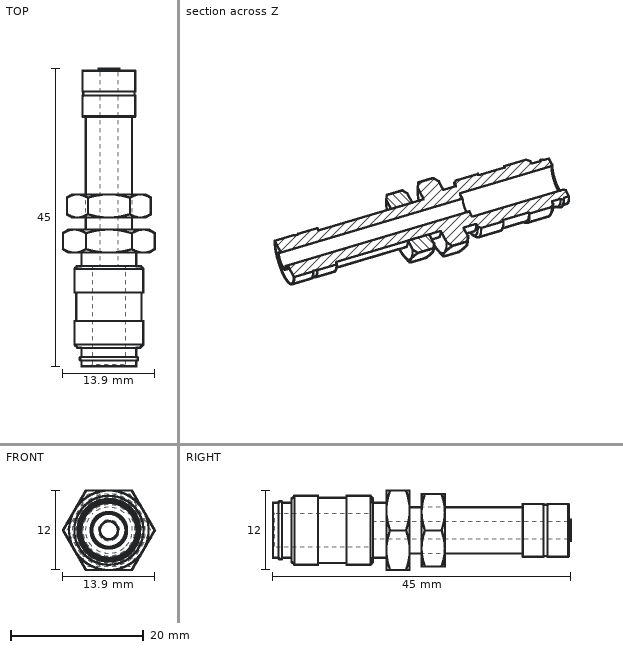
import cadquery as cq
import math

LENGTH = 45.0

NECK_DIAMETER = 8.32
BEAD_CENTER = 1.12
BEAD_RADIUS = 0.25

SLEEVE_DIAMETER = 10.45
SLEEVE_FRONT = 2.8
SLEEVE_LENGTH = 12.35
SLEEVE_REAR = SLEEVE_FRONT + SLEEVE_LENGTH
FRONT_CHAMFER = 0.5
REAR_CHAMFER = 0.4
WAIST_DIAMETER = 9.9
WAIST_START = 6.85
WAIST_LENGTH = 4.28

HEX_THICKNESS = 3.5
HEX_CHAMFER_ANGLE = 30.0
FIXED_HEX_FLATS = 12.0
FIXED_HEX_FRONT = 17.15
NUT_FLATS = 11.0
NUT_GAP = 1.8
NUT_FRONT = FIXED_HEX_FRONT + HEX_THICKNESS + NUT_GAP

STEM_DIAMETER = 7.0
COLLAR_DIAMETER = 8.0
COLLAR_FRONT = 37.65
COLLAR_EDGE_CHAMFER = 0.1
BOSS_DIAMETER = 3.2
BOSS_LENGTH = 0.3
COLLAR_REAR = LENGTH - BOSS_LENGTH
COLLAR_GROOVE_DIAMETER = 7.8
COLLAR_GROOVE_WIDTH = 0.65
COLLAR_GROOVE_START = (COLLAR_FRONT + COLLAR_REAR - COLLAR_GROOVE_WIDTH) / 2

BORE_DIAMETER = 5.0
BORE_DEPTH = SLEEVE_REAR
BORE_CHAMFER = 0.25
THROUGH_HOLE_DIAMETER = 2.7


def cylinder(diameter, start, end):
    """Solid cylinder on the Y axis from y = start to y = end."""
    base = cq.Workplane("XZ", origin=(0, start, 0))
    return base.circle(diameter / 2).extrude(start - end)


def ring_groove(outer_diameter, floor_diameter, start, width):
    """Ring of material to remove so that a groove is left in a cylinder."""
    outer = cylinder(outer_diameter, start, start + width)
    return outer.cut(cylinder(floor_diameter, start, start + width))


def chamfered_hexagon(flats, front):
    """Hexagonal block with flats facing +Z and -Z and its corners turned to a cone at both ends."""
    corner_radius = flats / math.sqrt(3)
    face_radius = flats / 2
    rear = front + HEX_THICKNESS
    drop = (corner_radius - face_radius) * math.tan(math.radians(HEX_CHAMFER_ANGLE))
    block = cq.Workplane("XZ", origin=(0, front, 0)).polygon(6, 2 * corner_radius).extrude(-HEX_THICKNESS)
    turned_envelope = (
        cq.Workplane("XY")
        .moveTo(0, front)
        .lineTo(face_radius, front)
        .lineTo(corner_radius, front + drop)
        .lineTo(corner_radius, rear - drop)
        .lineTo(face_radius, rear)
        .lineTo(0, rear)
        .close()
        .revolve(360, (0, 0, 0), (0, 1, 0))
    )
    return block.intersect(turned_envelope)


def make_neck():
    neck = cylinder(NECK_DIAMETER, 0, FIXED_HEX_FRONT)
    bead = (
        cq.Workplane("XY")
        .center(NECK_DIAMETER / 2, BEAD_CENTER)
        .circle(BEAD_RADIUS)
        .revolve(360, (-NECK_DIAMETER / 2, 0, 0), (-NECK_DIAMETER / 2, 1, 0))
    )
    return neck.union(bead)


def make_sleeve():
    sleeve = cylinder(SLEEVE_DIAMETER, SLEEVE_FRONT, SLEEVE_REAR)
    sleeve = sleeve.faces("<Y").chamfer(FRONT_CHAMFER)
    sleeve = sleeve.faces(">Y").chamfer(REAR_CHAMFER)
    return sleeve.cut(ring_groove(SLEEVE_DIAMETER, WAIST_DIAMETER, WAIST_START, WAIST_LENGTH))


def make_collar():
    collar = cylinder(COLLAR_DIAMETER, COLLAR_FRONT, COLLAR_REAR)
    collar = collar.faces("<Y or >Y").chamfer(COLLAR_EDGE_CHAMFER)
    groove = ring_groove(
        COLLAR_DIAMETER, COLLAR_GROOVE_DIAMETER, COLLAR_GROOVE_START, COLLAR_GROOVE_WIDTH
    )
    return collar.cut(groove)


def make_bores():
    """Front bore with a chamfered mouth, continued by a smaller hole through the whole fitting."""
    bore_radius = BORE_DIAMETER / 2
    front_center = cq.Vector(0, 0, 0)
    rearward = cq.Vector(0, 1, 0)
    mouth = cq.Solid.makeCone(bore_radius + BORE_CHAMFER, bore_radius, BORE_CHAMFER, front_center, rearward)
    bore = cylinder(BORE_DIAMETER, 0, BORE_DEPTH)
    through_hole = cylinder(THROUGH_HOLE_DIAMETER, 0, LENGTH)
    return bore.union(through_hole).union(cq.Workplane(mouth))


def make_fitting():
    stem = cylinder(STEM_DIAMETER, FIXED_HEX_FRONT, COLLAR_REAR)
    boss = cylinder(BOSS_DIAMETER, COLLAR_FRONT, LENGTH)
    fitting = make_neck().union(make_sleeve())
    fitting = fitting.union(chamfered_hexagon(FIXED_HEX_FLATS, FIXED_HEX_FRONT))
    fitting = fitting.union(stem).union(make_collar()).union(boss)
    return fitting.cut(make_bores())


def make_nut():
    """Loose hexagon nut whose hole matches the stem."""
    nut = chamfered_hexagon(NUT_FLATS, NUT_FRONT)
    return nut.cut(cylinder(STEM_DIAMETER, NUT_FRONT, NUT_FRONT + HEX_THICKNESS))


fitting = make_fitting()
nut = make_nut()
result = cq.Compound.makeCompound([fitting.val(), nut.val()])